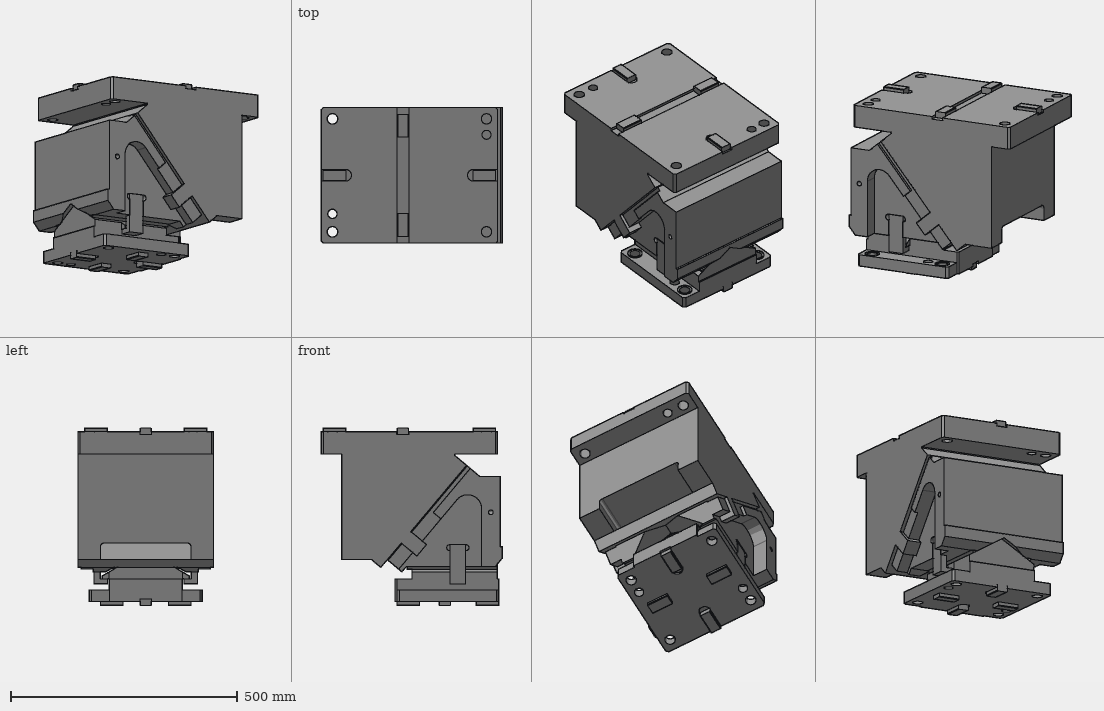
import cadquery as cq
import math


SLOPE = math.radians(50)
WAY_X = 383.5
WAY_TOP = 97.0

HALF_WIDTH = 150.0
KEY_LENGTH = 50.0
KEY_WIDTH = 25.0
KEYWAY_WIDTH = 26.0
KEYWAY_DEPTH = 6.0
KEY_BEVEL = 1.5

PLATE_LENGTH = 390.0
PLATE_BOTTOM = -50.0
PLATE_CHAMFER = 5.0
BLOCK_START = 45.0
BLOCK_BOTTOM = -283.0
BLOCK_END = 295.0
TOE_DISTANCE = 392.0
TOE_POCKET_WIDTH = 200.0
TOE_POCKET_TOP = -246.5
TOE_POCKET_RADIUS = 8.0
HOLDER_KEY_HEIGHT = 8.0
CROSS_KEYWAY_X = 180.5
CROSS_KEY_INSET = 15.0
END_KEY_INSET = 4.5
END_KEYWAY_LENGTH = 67.0
PLATE_HOLE_INSET = 25.0
PLATE_HOLE_Y = 125.0
PLATE_HOLE_DIAMETER = 23.0
PLATE_DOWEL_DIAMETER = 20.0
PLATE_DOWEL_FRONT_Y = -85.0
PLATE_DOWEL_BACK_Y = 89.5

HOOK_START = 288.5
HOOK_END = 321.5
HOOK_REACH = 45.0

SLIDE_TOP = -99.0
SLIDE_BOTTOM = -298.5
SLIDE_FACE_X = 395.5
SLIDE_PAD_X = 400.0
PAD_TOP = -254.0
PAD_BOTTOM = -280.0
SLIDE_FOOT = 369.5
FOOT_DEPTH = 42.0
FLANGE_HALF_WIDTH = 143.0
FLANGE_GAP = 2.0
FLANGE_DEPTH = 33.0
RELIEF_DEPTH = 11.0
RELIEF_END = 224.5
CORE_HALF_WIDTH = 116.5
SIDE_POCKET_END = 354.5
SIDE_POCKET_RADIUS = 31.0
PIN_HOLE_X = 375.0
PIN_HOLE_Z = -178.5
PIN_HOLE_DIAMETER = 10.5
PIN_HOLE_DEPTH = 24.0
DRILL_HALF_ANGLE = math.radians(59)

STRAP_START = 284.5
STRAP_WIDTH = 35.0
STRAP_TOP = -250.0
STRAP_BOTTOM = -336.5
STRAP_OUTER_Y = 115.0
STRAP_INNER_Y = 100.0
STRAP_FOOT_Y = 84.5
STRAP_SLOT_LENGTH = 49.0
STRAP_SLOT_HEIGHT = 13.0

ROOF_SLOPE = math.radians(30)
EAVES_Z = -310.5
HEAD_HALF_WIDTH = 81.5
HEAD_START = 200.0
HEAD_END = 389.0
ROOF_PAD_START = 190.0
ROOF_PAD_BOTTOM = -304.5
ROOF_CLEARANCE = 7.5
NOSE_START = 163.0
NOSE_HALF_WIDTH = 80.0
SHOULDER_Z = -325.5
BASE_START = 167.0
BASE_END = 392.5
BASE_HALF_WIDTH = 125.0
BASE_TOP = -350.0
BASE_BOTTOM = -376.0
BASE_CHAMFER = 5.0
LUG_HALF_WIDTH = 96.5
BASE_HOLE_SPACING_X = 174.5
BASE_HOLE_Y = 102.5
BASE_HOLE_DIAMETER = 23.0
SPOT_FACE_DIAMETER = 32.0
SPOT_FACE_DEPTH = 1.5
BASE_DOWEL_OFFSET_X = 52.0
BASE_DOWEL_DIAMETER = 20.5
DRIVER_KEY_HEIGHT = 9.0
DRIVER_CROSS_KEY_X = 273.0
DRIVER_CROSS_KEY_Y = 50.0

FAR = 480.0


def on_way(distance, offset):
    """XZ point at a distance down the slope and an offset from the way into the slide."""
    x = WAY_X - distance * math.cos(SLOPE) + offset * math.sin(SLOPE)
    z = -distance * math.sin(SLOPE) - offset * math.cos(SLOPE)
    return x, z


def offset_at_z(distance, z):
    """Offset from the way at which the given distance down the slope reaches a height."""
    return (-z - distance * math.sin(SLOPE)) / math.cos(SLOPE)


def distance_at_z(offset, z):
    """Distance down the slope at which the given offset from the way reaches a height."""
    return (-z - offset * math.cos(SLOPE)) / math.sin(SLOPE)


def way_rectangle(start, end, near, far):
    return [on_way(start, near), on_way(start, far), on_way(end, far), on_way(end, near)]


def box(x0, x1, y0, y1, z0, z1):
    return cq.Workplane("XY").box(x1 - x0, y1 - y0, z1 - z0, centered=False).translate((x0, y0, z0))


def prism_y(points, y0, y1):
    """Closed XZ outline extruded from y0 to y1."""
    return cq.Workplane("XZ", origin=(0, y1, 0)).polyline(points).close().extrude(y1 - y0)


def prism_x(points, x0, x1):
    """Closed YZ outline extruded from x0 to x1."""
    return cq.Workplane("YZ", origin=(x0, 0, 0)).polyline(points).close().extrude(x1 - x0)


def both_sides(shape):
    return shape.union(shape.mirror("XZ"))


def post(x, y, z0, z1, diameter):
    return cq.Workplane("XY", origin=(x, y, z0)).circle(diameter / 2).extrude(z1 - z0)


def key(x0, y_middle, z0, z1, bevelled_face):
    """Key along X, its long edges bevelled on the exposed face."""
    bar = box(x0, x0 + KEY_LENGTH, y_middle - KEY_WIDTH / 2, y_middle + KEY_WIDTH / 2, z0, z1)
    return bar.faces(bevelled_face).edges("|X").chamfer(KEY_BEVEL)


def cross_key(x_middle, y0, z0, z1, bevelled_face):
    """Key along Y, its long edges bevelled on the exposed face."""
    bar = key(0, 0, z0, z1, bevelled_face).rotate((0, 0, 0), (0, 0, 1), 90)
    return bar.translate((x_middle, y0, 0))


def keyway(x_open, x_round, z0, z1):
    """Slot along X on the middle plane, open at one end and round at the other."""
    radius = KEYWAY_WIDTH / 2
    x_centre = x_round - math.copysign(radius, x_round - x_open)
    straight = box(min(x_open, x_centre), max(x_open, x_centre), -radius, radius, z0, z1)
    return straight.union(post(x_centre, 0, z0, z1, KEYWAY_WIDTH))


def toe_pocket(toe_start):
    """Pocket open to the -X face and the bottom, its back parallel to the way."""
    back_x = toe_start + (TOE_POCKET_TOP - BLOCK_BOTTOM) / math.tan(SLOPE)
    half = TOE_POCKET_WIDTH / 2
    opening = box(0, back_x, -half, half, BLOCK_BOTTOM, TOE_POCKET_TOP)
    opening = opening.edges("|X and >Z").fillet(TOE_POCKET_RADIUS)
    side = [(0, BLOCK_BOTTOM), (toe_start, BLOCK_BOTTOM), (back_x, TOE_POCKET_TOP), (0, TOE_POCKET_TOP)]
    return opening.intersect(prism_y(side, -half, half))


def retaining_hook():
    """Hook on the -Y side: a web beside the flange and a claw behind it."""
    web = prism_y(way_rectangle(HOOK_START, HOOK_END, 0, HOOK_REACH), -HALF_WIDTH, -FLANGE_HALF_WIDTH)
    claw = prism_y(
        way_rectangle(HOOK_START, HOOK_END, FLANGE_DEPTH, HOOK_REACH), -HALF_WIDTH, -CORE_HALF_WIDTH
    )
    return web.union(claw)


def make_holder():
    toe_x, toe_z = on_way(TOE_DISTANCE, 0)
    toe_start = toe_x - (BLOCK_BOTTOM - toe_z) * math.tan(SLOPE)
    way_start_x, way_start_z = on_way(WAY_TOP, 0)
    step_z = way_start_z + (way_start_x - BLOCK_END) / math.tan(SLOPE)
    block = prism_y(
        [
            (BLOCK_START, PLATE_BOTTOM),
            (BLOCK_START, BLOCK_BOTTOM),
            (toe_start, BLOCK_BOTTOM),
            (toe_x, toe_z),
            (way_start_x, way_start_z),
            (BLOCK_END, step_z),
            (BLOCK_END, PLATE_BOTTOM),
        ],
        -HALF_WIDTH,
        HALF_WIDTH,
    )
    plate = box(0, PLATE_LENGTH, -HALF_WIDTH, HALF_WIDTH, PLATE_BOTTOM, 0)
    plate = plate.edges("|Z").chamfer(PLATE_CHAMFER)
    holder = plate.union(block).cut(toe_pocket(toe_start)).union(both_sides(retaining_hook()))

    far_x = PLATE_LENGTH - PLATE_HOLE_INSET
    for x in (PLATE_HOLE_INSET, far_x):
        for y in (-PLATE_HOLE_Y, PLATE_HOLE_Y):
            holder = holder.cut(post(x, y, PLATE_BOTTOM, 0, PLATE_HOLE_DIAMETER))
    for x, y in ((PLATE_HOLE_INSET, PLATE_DOWEL_FRONT_Y), (far_x, PLATE_DOWEL_BACK_Y)):
        holder = holder.cut(post(x, y, PLATE_BOTTOM, 0, PLATE_DOWEL_DIAMETER))

    half_groove = KEYWAY_WIDTH / 2
    holder = holder.cut(
        box(
            CROSS_KEYWAY_X - half_groove, CROSS_KEYWAY_X + half_groove,
            -HALF_WIDTH, HALF_WIDTH, -KEYWAY_DEPTH, 0,
        )
    )
    holder = holder.cut(keyway(0, END_KEYWAY_LENGTH, -KEYWAY_DEPTH, 0))
    holder = holder.cut(keyway(PLATE_LENGTH, PLATE_LENGTH - END_KEYWAY_LENGTH, -KEYWAY_DEPTH, 0))
    first_y = CROSS_KEY_INSET - HALF_WIDTH
    for y in (first_y, -first_y - KEY_LENGTH):
        holder = holder.union(cross_key(CROSS_KEYWAY_X, y, -KEYWAY_DEPTH, HOLDER_KEY_HEIGHT, ">Z"))
    for x in (END_KEY_INSET, PLATE_LENGTH - END_KEY_INSET - KEY_LENGTH):
        holder = holder.union(key(x, 0, -KEYWAY_DEPTH, HOLDER_KEY_HEIGHT, ">Z"))
    return holder


def roof_prism(half_width, x0, x1):
    """Ridge along X with the driver's roof slope, from the eaves height up."""
    ridge_z = EAVES_Z + half_width * math.tan(ROOF_SLOPE)
    return prism_x([(-half_width, EAVES_Z), (half_width, EAVES_Z), (0, ridge_z)], x0, x1)


def side_pocket():
    """Arched pocket on the -Y side, open at the bottom."""
    centre_x = SIDE_POCKET_END - SIDE_POCKET_RADIUS
    offset = FLANGE_DEPTH + SIDE_POCKET_RADIUS
    centre_z = ((centre_x - WAY_X) * math.sin(SLOPE) - offset) / math.cos(SLOPE)
    tangent_x = centre_x - SIDE_POCKET_RADIUS * math.sin(SLOPE)
    tangent_z = centre_z + SIDE_POCKET_RADIUS * math.cos(SLOPE)
    outline = (
        cq.Workplane("XZ", origin=(0, -CORE_HALF_WIDTH, 0))
        .moveTo(*on_way(FAR, FLANGE_DEPTH))
        .lineTo(tangent_x, tangent_z)
        .threePointArc(
            (centre_x, centre_z + SIDE_POCKET_RADIUS),
            (SIDE_POCKET_END, centre_z),
        )
        .lineTo(SIDE_POCKET_END, -FAR)
        .close()
    )
    return outline.extrude(HALF_WIDTH - CORE_HALF_WIDTH)


def strap_slot():
    """Recess in the -Y side of the core for the strap and its round-ended head."""
    middle_x = STRAP_START + STRAP_WIDTH / 2
    head = (
        cq.Workplane("XZ", origin=(middle_x, -STRAP_INNER_Y, STRAP_TOP - STRAP_SLOT_HEIGHT / 2))
        .slot2D(STRAP_SLOT_LENGTH, STRAP_SLOT_HEIGHT)
        .extrude(CORE_HALF_WIDTH - STRAP_INNER_Y)
    )
    leg = box(
        STRAP_START, STRAP_START + STRAP_WIDTH,
        -CORE_HALF_WIDTH, -STRAP_INNER_Y, SLIDE_BOTTOM, STRAP_TOP,
    )
    return head.union(leg)


def return_strap():
    """Strap on the -Y side with a foot that turns inward under the driver's lug."""
    return prism_x(
        [
            (-STRAP_OUTER_Y, STRAP_TOP),
            (-STRAP_OUTER_Y, STRAP_BOTTOM),
            (-STRAP_FOOT_Y, STRAP_BOTTOM),
            (-STRAP_FOOT_Y, SHOULDER_Z),
            (-STRAP_INNER_Y, SHOULDER_Z),
            (-STRAP_INNER_Y, STRAP_TOP),
        ],
        STRAP_START,
        STRAP_START + STRAP_WIDTH,
    )


def roof_pad():
    """Strip under the slide that rests on the driver's roof; its edges are square to the roof."""
    lower_y = HEAD_HALF_WIDTH - (ROOF_PAD_BOTTOM - EAVES_Z) / math.tan(ROOF_SLOPE)
    upper_y = lower_y + (SLIDE_BOTTOM - ROOF_PAD_BOTTOM) * math.tan(ROOF_SLOPE)
    return prism_x(
        [
            (-lower_y, ROOF_PAD_BOTTOM),
            (lower_y, ROOF_PAD_BOTTOM),
            (upper_y, SLIDE_BOTTOM),
            (-upper_y, SLIDE_BOTTOM),
        ],
        ROOF_PAD_START,
        HEAD_END,
    )


def pin_hole():
    """Blind drilled hole on the -Y side."""
    radius = PIN_HOLE_DIAMETER / 2
    tip_depth = PIN_HOLE_DEPTH + radius / math.tan(DRILL_HALF_ANGLE)
    profile = [(0, 0), (radius, 0), (radius, PIN_HOLE_DEPTH), (0, tip_depth)]
    drill = cq.Workplane("XY").polyline(profile).close().revolve(360, (0, 0, 0), (0, 1, 0))
    return drill.translate((PIN_HOLE_X, -HALF_WIDTH, PIN_HOLE_Z))


def make_slide():
    bottom_x = SLIDE_PAD_X - (PAD_BOTTOM - SLIDE_BOTTOM) / math.tan(SLOPE)
    slide = prism_y(
        [
            on_way(WAY_TOP, 0),
            on_way(WAY_TOP, offset_at_z(WAY_TOP, SLIDE_TOP)),
            (SLIDE_FACE_X, SLIDE_TOP),
            (SLIDE_FACE_X, PAD_TOP),
            (SLIDE_PAD_X, PAD_TOP),
            (SLIDE_PAD_X, PAD_BOTTOM),
            (bottom_x, SLIDE_BOTTOM),
            on_way(distance_at_z(FOOT_DEPTH, SLIDE_BOTTOM), FOOT_DEPTH),
            on_way(SLIDE_FOOT, FOOT_DEPTH),
            on_way(SLIDE_FOOT, 0),
        ],
        -HALF_WIDTH,
        HALF_WIDTH,
    )

    relief = prism_y(way_rectangle(0, FAR, 0, RELIEF_DEPTH), -HALF_WIDTH, -FLANGE_HALF_WIDTH)
    flange_side = prism_y(
        way_rectangle(RELIEF_END, FAR, 0, FLANGE_DEPTH), -HALF_WIDTH, -FLANGE_HALF_WIDTH
    )
    gap = prism_y(way_rectangle(0, FAR, 0, FLANGE_GAP), -HALF_WIDTH, -CORE_HALF_WIDTH)
    for cutter in (relief, flange_side, gap, side_pocket(), strap_slot(), pin_hole()):
        slide = slide.cut(both_sides(cutter))

    slide = slide.union(roof_pad())
    slide = slide.cut(roof_prism(HEAD_HALF_WIDTH, 0, FAR))
    slide = slide.cut(roof_prism(HEAD_HALF_WIDTH + ROOF_CLEARANCE, 0, ROOF_PAD_START))
    return slide.union(both_sides(return_strap()))


def make_driver():
    base = box(BASE_START, BASE_END, -BASE_HALF_WIDTH, BASE_HALF_WIDTH, BASE_BOTTOM, BASE_TOP)
    base = base.edges("|Z").chamfer(BASE_CHAMFER)
    shoulder = box(BASE_START, BASE_END, -HEAD_HALF_WIDTH, HEAD_HALF_WIDTH, BASE_BOTTOM, SHOULDER_Z)
    nose = box(NOSE_START, BASE_START, -NOSE_HALF_WIDTH, NOSE_HALF_WIDTH, BASE_BOTTOM, SHOULDER_Z)
    head = box(HEAD_START, HEAD_END, -HEAD_HALF_WIDTH, HEAD_HALF_WIDTH, SHOULDER_Z, EAVES_Z)
    roof = roof_prism(HEAD_HALF_WIDTH, HEAD_START, HEAD_END)
    driver = base.union(shoulder).union(nose).union(head).union(roof)

    lug_edge_z = EAVES_Z - (LUG_HALF_WIDTH - HEAD_HALF_WIDTH) * math.tan(ROOF_SLOPE)
    lug = prism_x(
        [
            (-HEAD_HALF_WIDTH, EAVES_Z),
            (-LUG_HALF_WIDTH, lug_edge_z),
            (-LUG_HALF_WIDTH, SHOULDER_Z),
            (-HEAD_HALF_WIDTH, SHOULDER_Z),
        ],
        STRAP_START,
        STRAP_START + STRAP_WIDTH,
    )
    driver = driver.union(both_sides(lug))

    middle_x = (BASE_START + BASE_END) / 2
    for x in (middle_x - BASE_HOLE_SPACING_X / 2, middle_x + BASE_HOLE_SPACING_X / 2):
        for y in (-BASE_HOLE_Y, BASE_HOLE_Y):
            driver = driver.cut(post(x, y, BASE_BOTTOM, BASE_TOP, BASE_HOLE_DIAMETER))
            driver = driver.cut(post(x, y, BASE_TOP - SPOT_FACE_DEPTH, BASE_TOP, SPOT_FACE_DIAMETER))
    for side in (-1, 1):
        dowel_x = middle_x - side * BASE_DOWEL_OFFSET_X
        driver = driver.cut(post(dowel_x, side * BASE_HOLE_Y, BASE_BOTTOM, BASE_TOP, BASE_DOWEL_DIAMETER))

    key_bottom = BASE_BOTTOM - DRIVER_KEY_HEIGHT
    keyway_top = BASE_BOTTOM + KEYWAY_DEPTH
    round_reach = KEY_LENGTH + KEYWAY_WIDTH / 2
    driver = driver.cut(keyway(NOSE_START, BASE_START + round_reach, BASE_BOTTOM, keyway_top))
    driver = driver.cut(keyway(BASE_END, BASE_END - round_reach, BASE_BOTTOM, keyway_top))
    for x in (BASE_START, BASE_END - KEY_LENGTH):
        driver = driver.union(key(x, 0, key_bottom, keyway_top, "<Z"))
    for y in (-DRIVER_CROSS_KEY_Y - KEY_LENGTH, DRIVER_CROSS_KEY_Y):
        driver = driver.union(cross_key(DRIVER_CROSS_KEY_X, y, key_bottom, BASE_BOTTOM, "<Z"))
    return driver


holder = make_holder()
slide = make_slide()
driver = make_driver()
result = cq.Compound.makeCompound([holder.solids().val(), slide.solids().val(), driver.solids().val()])